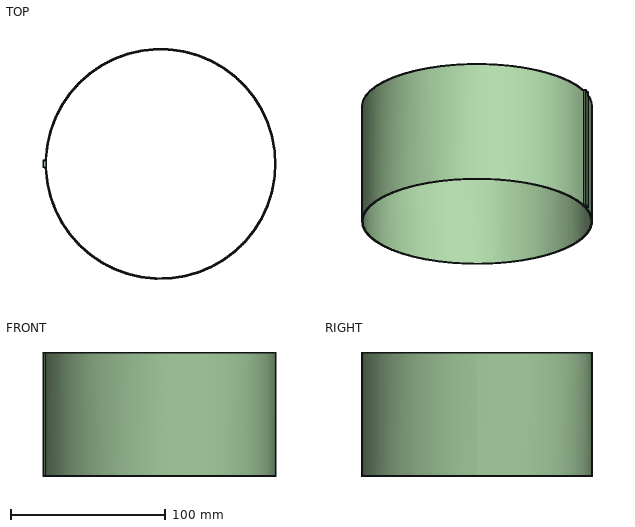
import cadquery as cq

inner_diameter = 148.0
wall_thickness = 0.6
height = 80.0
rib_root_width = 4.8
rib_tip_width = 4.55
rib_projection = 1.4

inner_radius = inner_diameter / 2
outer_radius = inner_radius + wall_thickness
rib_tip_radius = outer_radius + rib_projection


def make_disc(radius):
    """Solid cylinder of the sleeve's height, standing on Z = 0."""
    return cq.Workplane("XY").circle(radius).extrude(height)


def make_rib():
    """Full-height bar on the -X side, tapering slightly from the bore radius to its outer face."""
    return (
        cq.Workplane("XY")
        .moveTo(-inner_radius, -rib_root_width / 2)
        .lineTo(-rib_tip_radius, -rib_tip_width / 2)
        .lineTo(-rib_tip_radius, rib_tip_width / 2)
        .lineTo(-inner_radius, rib_root_width / 2)
        .close()
        .extrude(height)
    )


result = make_disc(outer_radius).union(make_rib()).cut(make_disc(inner_radius))